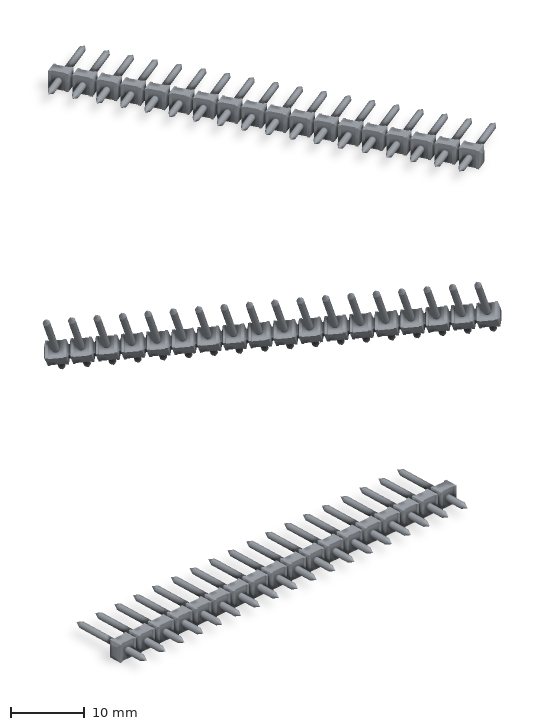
import cadquery as cq

TOTAL_LENGTH = 62.9
PIN_COUNT = 18

BLOCK_LENGTH = 3.35
BLOCK_DEPTH = 2.1
BLOCK_HEIGHT = 2.8
TAPER_LENGTH = 0.22
TAPER_INSET = 0.55
RIB_WIDTH = 0.4
RECESS_DEPTH = 0.2

END_STUB_LENGTH = 0.05
PITCH = (TOTAL_LENGTH - BLOCK_LENGTH - END_STUB_LENGTH) / (PIN_COUNT - 1)

BRIDGE_LENGTH = PITCH - BLOCK_LENGTH
BRIDGE_DEPTH = BLOCK_DEPTH - 2 * TAPER_INSET
BRIDGE_HEIGHT = BLOCK_HEIGHT - 2 * TAPER_INSET

PIN_DIAMETER = 1.0
PIN_TIP_LENGTH = 1.0
PIN_LONG_END = 8.25
PIN_SHORT_END = 3.7


def make_tapered_end(x_small, x_large):
    """Frustum between the bridge-sized face and the full block section."""
    small_face = cq.Workplane("YZ", origin=(x_small, 0, 0)).rect(BRIDGE_DEPTH, BRIDGE_HEIGHT)
    offset = x_large - x_small
    return small_face.workplane(offset=offset).rect(BLOCK_DEPTH, BLOCK_HEIGHT).loft(ruled=True)


def make_block():
    """Block from X = 0 with tapered ends and a full-height recess in both Y faces."""
    core_length = BLOCK_LENGTH - 2 * TAPER_LENGTH
    recess_length = core_length - 2 * RIB_WIDTH
    block = (
        cq.Workplane("XY")
        .box(core_length, BLOCK_DEPTH, BLOCK_HEIGHT)
        .translate((BLOCK_LENGTH / 2, 0, 0))
        .union(make_tapered_end(0, TAPER_LENGTH))
        .union(make_tapered_end(BLOCK_LENGTH, BLOCK_LENGTH - TAPER_LENGTH))
    )
    for side in (-1, 1):
        recess = cq.Workplane("XY").box(recess_length, 2 * RECESS_DEPTH, BLOCK_HEIGHT)
        block = block.cut(recess.translate((BLOCK_LENGTH / 2, side * BLOCK_DEPTH / 2, 0)))
    return block


def make_bridge(length):
    """Bar of the given length, from the +X end of the block."""
    bridge = cq.Workplane("XY").box(length, BRIDGE_DEPTH, BRIDGE_HEIGHT)
    return bridge.translate((BLOCK_LENGTH + length / 2, 0, 0))


def make_pin():
    """Round pin with conical points, through the middle of the block."""
    radius = PIN_DIAMETER / 2
    y_front = -BLOCK_DEPTH / 2 - PIN_SHORT_END
    y_back = BLOCK_DEPTH / 2 + PIN_LONG_END
    pin = (
        cq.Workplane("XY")
        .moveTo(0, y_front)
        .lineTo(radius, y_front + PIN_TIP_LENGTH)
        .lineTo(radius, y_back - PIN_TIP_LENGTH)
        .lineTo(0, y_back)
        .close()
        .revolve(360, (0, 0, 0), (0, 1, 0))
    )
    return pin.translate((BLOCK_LENGTH / 2, 0, 0))


pinned_block = make_block().union(make_pin())
inner_segment = pinned_block.union(make_bridge(BRIDGE_LENGTH))
last_segment = pinned_block.union(make_bridge(END_STUB_LENGTH))

result = inner_segment
for index in range(1, PIN_COUNT):
    segment = inner_segment if index < PIN_COUNT - 1 else last_segment
    result = result.union(segment.translate((index * PITCH, 0, 0)))